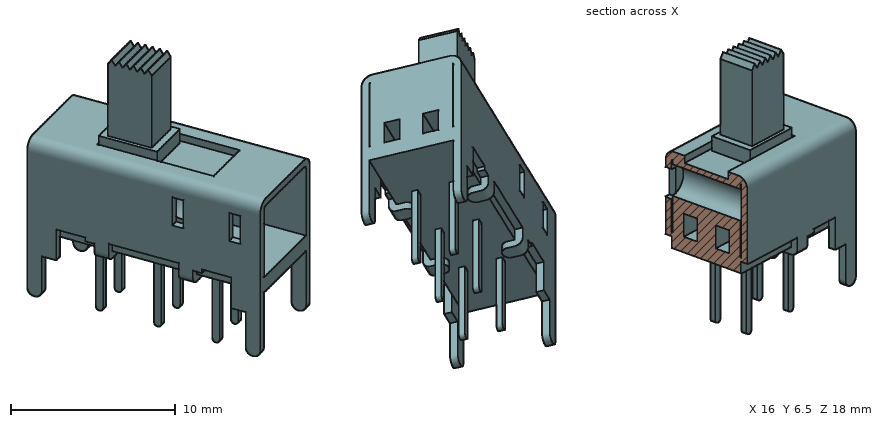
import cadquery as cq


length = 16.0
width = 6.5
height = 18.0
sheet = 0.5

cover_top = 12.0
cover_corner = 0.75
cover_edge = 6.2
leg_bottom = 1.0
leg_width = 1.0
shoulder_width = 2.0
shoulder_bottom = 4.0
opening_length = 8.0
opening_width = 3.42
slot_width = 0.75
slot_height = 2.0
slot_bottom = 8.75
slot_places = (2.34, 6.25)

tab_near = 2.41
tab_far = 3.38
tab_reach = 1.75
tab_step_end = 4.0
tab_step_bottom = 5.92

base_bottom = 5.4
base_top = 6.5
pin_width = 0.5
pin_thickness = 0.4
pin_pitch = 4.0
pin_row = 1.22

travel = 4.0
slider_clearance = 0.05
channel_width = 1.0
channel_top = 8.03
channel_place = 1.26
detent_diameter = 2.1
detent_z = 10.05

collar_length = 4.0
collar_width = 3.0
collar_top = 12.5
knob_length = 3.0
knob_width = 2.5
tooth_count = 6
tooth_height = 0.38

inner_width = width - 2 * sheet
inner_top = cover_top - sheet
half_length = length / 2
slider_length = length - travel
slider_x = -travel / 2
tab_bottom = base_bottom - sheet


def block(x_size, y_size, z_low, z_high, x=0.0, y=0.0):
    """Box centred on (x, y) that spans z_low to z_high."""
    return (
        cq.Workplane("XY", origin=(x, y, z_low))
        .box(x_size, y_size, z_high - z_low, centered=(True, True, False))
    )


def along_y(outline, depth):
    """Solid from an XZ outline, centred on the middle plane."""
    return outline.extrude(depth / 2, both=True)


def round_strip(strip_width, z_low, z_high, x, depth):
    """Upright strip with a round lower end."""
    radius = strip_width / 2
    outline = (
        cq.Workplane("XZ")
        .moveTo(x - radius, z_high)
        .lineTo(x - radius, z_low + radius)
        .threePointArc((x, z_low), (x + radius, z_low + radius))
        .lineTo(x + radius, z_high)
        .close()
    )
    return along_y(outline, depth)


def cover_profile():
    """Full-length channel section with rounded top corners, open below."""
    outer = block(length, width, 0, cover_top).edges("|X and >Z").fillet(cover_corner)
    inner = block(length, inner_width, 0, inner_top).edges("|X and >Z").fillet(cover_corner - sheet)
    return outer.cut(inner)


def side_outline():
    """Silhouette of the side walls, with legs and the stepped tab roots."""
    outline = block(length, width, cover_edge, cover_top)
    step_length = tab_step_end - tab_far
    for side in (-1, 1):
        shoulder_x = side * (half_length - shoulder_width / 2)
        leg_x = side * (half_length - leg_width / 2)
        step_x = side * (tab_far + tab_step_end) / 2
        outline = (
            outline.union(block(shoulder_width, width, shoulder_bottom, cover_edge, shoulder_x))
            .union(round_strip(leg_width, leg_bottom, cover_edge, leg_x, width))
            .union(block(step_length, width, tab_step_bottom, cover_edge, step_x))
        )
    return outline


def tab(x_side, y_side):
    """Tab bent inward under the base, with a round tip."""
    tab_width = tab_far - tab_near
    tip_radius = tab_width / 2
    tip_centre = tab_reach + tip_radius
    flat_length = width / 2 - tip_centre
    x = x_side * (tab_near + tab_far) / 2
    upright = block(tab_width, sheet, tab_bottom, cover_edge, x, y_side * (width - sheet) / 2)
    flat = block(tab_width, flat_length, tab_bottom, base_bottom, x, y_side * (width / 2 + tip_centre) / 2)
    tip = (
        cq.Workplane("XY", origin=(x, y_side * tip_centre, tab_bottom))
        .circle(tip_radius).extrude(sheet)
    )
    outer_edge = ">Y" if y_side > 0 else "<Y"
    bend = upright.union(flat).edges(f"|X and <Z and {outer_edge}").fillet(sheet)
    return bend.union(tip)


def cover():
    shell = cover_profile().intersect(side_outline())
    shell = shell.cut(block(opening_length, opening_width, inner_top, cover_top))
    wall_y = -(width - sheet) / 2
    for x in slot_places:
        shell = shell.cut(block(slot_width, sheet, slot_bottom, slot_bottom + slot_height, x, wall_y))
    for x_side in (-1, 1):
        for y_side in (-1, 1):
            shell = shell.union(tab(x_side, y_side))
    return shell


def base():
    body = block(length, inner_width, base_bottom, base_top)
    for column in (-1, 0, 1):
        pin = round_strip(pin_width, 0, base_bottom, column * pin_pitch, pin_thickness)
        for row in (-1, 1):
            body = body.union(pin.translate((0, row * pin_row, 0)))
    return body


def slider():
    slider_width = inner_width - 2 * slider_clearance
    body = block(slider_length, slider_width, base_top, inner_top, slider_x)
    for side in (-1, 1):
        body = body.cut(
            block(slider_length, channel_width, base_top, channel_top, slider_x, side * channel_place)
        )
    detent = cq.Workplane("XZ").center(slot_places[0], detent_z).circle(detent_diameter / 2)
    body = body.cut(along_y(detent, width))
    collar = block(collar_length, collar_width, inner_top, collar_top, slider_x)
    return body.union(collar).union(knob())


def knob():
    """Finger grip with a row of ridges across its top."""
    pitch = knob_length / tooth_count
    left = slider_x - knob_length / 2
    valley = height - tooth_height
    points = [(left, collar_top), (left, valley)]
    for tooth in range(tooth_count):
        start = left + tooth * pitch
        points.append((start + pitch / 2, height))
        points.append((start + pitch, valley))
    points.append((left + knob_length, collar_top))
    return along_y(cq.Workplane("XZ").polyline(points).close(), knob_width)


result = cover().union(base()).union(slider())